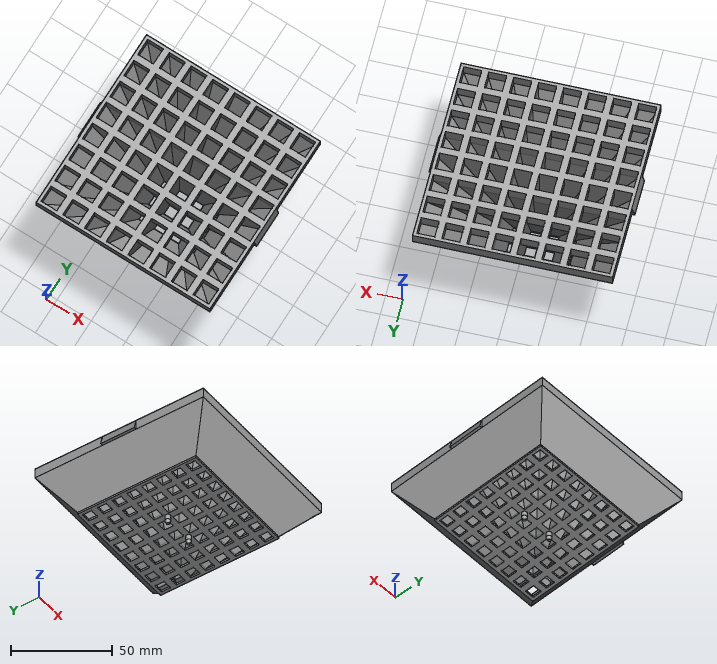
import cadquery as cq

CELLS = 8
TOP_SIDE = 101.6
BASE_SIDE = 71.3
RIB = 3.6
TOP_THICKNESS = 6.0
SLOPE_HEIGHT = 20.0
BASE_THICKNESS = 1.3

OVERALL_LENGTH = 104.6
WEDGE_WIDTH = 20.3

PIN_DIAMETER = 3.0
PIN_TIP_DIAMETER = 1.5
PIN_SHAFT_LENGTH = 3.0
PIN_TIP_LENGTH = 2.0

TOP_PITCH = TOP_SIDE / CELLS
BASE_PITCH = BASE_SIDE / CELLS
TOP_OPENING = TOP_PITCH - RIB
BASE_OPENING = BASE_PITCH - RIB

SLOPE_BOTTOM = BASE_THICKNESS
SLOPE_TOP = SLOPE_BOTTOM + SLOPE_HEIGHT
TOP = SLOPE_TOP + TOP_THICKNESS


def square_wire(center, side, level):
    """Horizontal square outline centred on an (x, y) point."""
    return cq.Workplane("XY", origin=(*center, level)).rect(side, side).val()


def square_column(top_center, top_side, base_center, base_side):
    """Square column, upright through the two slabs and sloped between them."""
    sections = [
        square_wire(base_center, base_side, 0),
        square_wire(base_center, base_side, SLOPE_BOTTOM),
        square_wire(top_center, top_side, SLOPE_TOP),
        square_wire(top_center, top_side, TOP),
    ]
    return cq.Solid.makeLoft(sections, True)


def cell_openings():
    """Through openings that lean toward the middle as they go down."""
    middle = (CELLS - 1) / 2
    openings = []
    for column in range(CELLS):
        for row in range(CELLS):
            step_x = column - middle
            step_y = row - middle
            top_center = (step_x * TOP_PITCH, step_y * TOP_PITCH)
            base_center = (step_x * BASE_PITCH, step_y * BASE_PITCH)
            openings.append(square_column(top_center, TOP_OPENING, base_center, BASE_OPENING))
    return openings


def side_wedges():
    """Wedges flush with the top edge, thickest at the bottom of the top slab."""
    profile = [
        (-OVERALL_LENGTH / 2, SLOPE_TOP),
        (OVERALL_LENGTH / 2, SLOPE_TOP),
        (TOP_SIDE / 2, TOP),
        (-TOP_SIDE / 2, TOP),
    ]
    bar = cq.Workplane("XZ").polyline(profile).close().extrude(WEDGE_WIDTH / 2, both=True)
    slab = cq.Workplane("XY", origin=(0, 0, SLOPE_TOP)).rect(TOP_SIDE, TOP_SIDE).extrude(TOP_THICKNESS)
    return bar.cut(slab)


def pin(x):
    """Round pin with a tapered tip, hanging from the underside of the base."""
    radius = PIN_DIAMETER / 2
    tip_radius = PIN_TIP_DIAMETER / 2
    tip_level = -PIN_SHAFT_LENGTH - PIN_TIP_LENGTH
    half_profile = [
        (0, 0),
        (radius, 0),
        (radius, -PIN_SHAFT_LENGTH),
        (tip_radius, tip_level),
        (0, tip_level),
    ]
    return cq.Workplane("XZ").polyline(half_profile).close().revolve().translate((x, 0, 0))


block = square_column((0, 0), TOP_SIDE, (0, 0), BASE_SIDE).cut(*cell_openings())

result = cq.Workplane(block).union(side_wedges())
for pin_x in (-BASE_PITCH, BASE_PITCH):
    result = result.union(pin(pin_x))